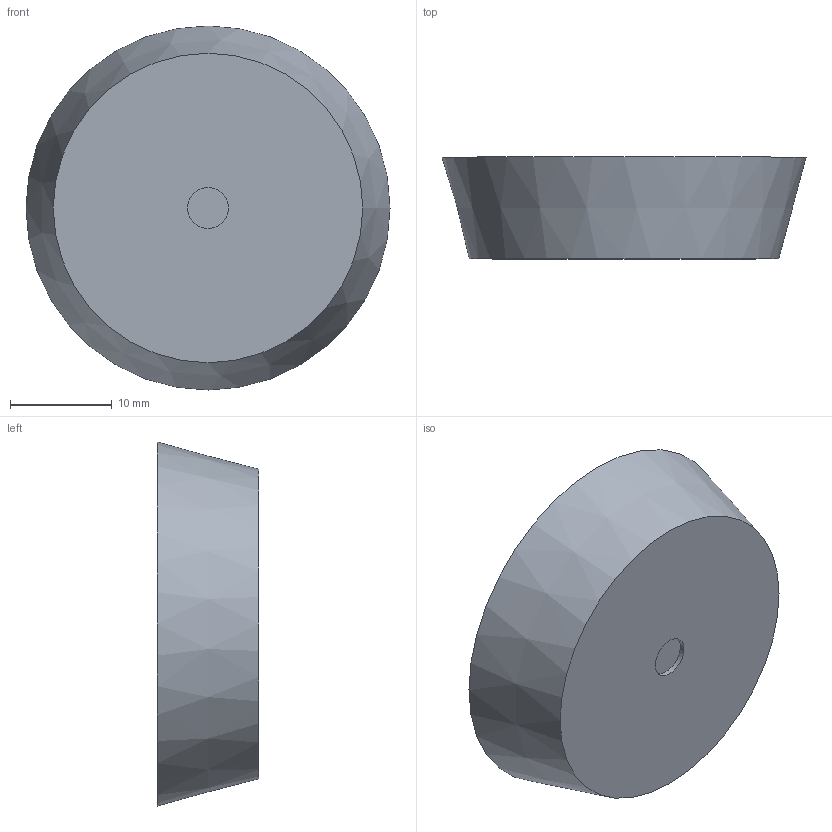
import cadquery as cq
import math

back_diameter = 35.8
thickness = 10.0
taper_angle = 15.0

recess_diameter = 4.0
recess_depth = 0.5

back_radius = back_diameter / 2
front_radius = back_radius - thickness * math.tan(math.radians(taper_angle))
front_y = -thickness / 2
back_y = front_y + thickness


def tapered_body():
    """Solid cone frustum, revolved about the Y axis."""
    half_profile = (
        cq.Workplane("XY")
        .moveTo(0, front_y)
        .lineTo(front_radius, front_y)
        .lineTo(back_radius, back_y)
        .lineTo(0, back_y)
        .close()
    )
    return half_profile.revolve(360, (0, 0, 0), (0, 1, 0))


def front_recess():
    """Disc to remove, running from the front face into the body."""
    front_plane = cq.Plane(origin=(0, front_y, 0), xDir=(1, 0, 0), normal=(0, 1, 0))
    return cq.Workplane(front_plane).circle(recess_diameter / 2).extrude(recess_depth)


result = tapered_body().cut(front_recess())